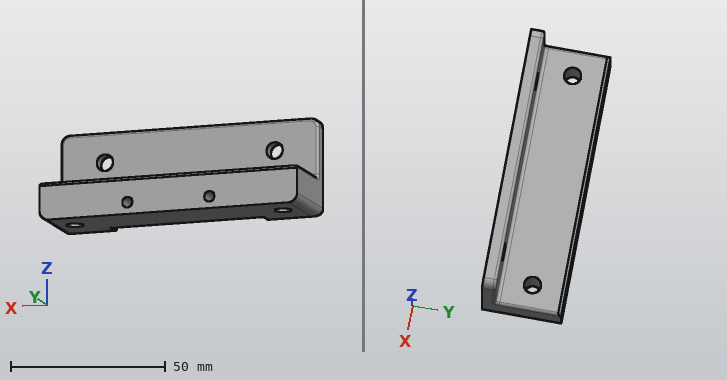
import cadquery as cq

length = 88.0
depth = 26.0
height = 32.3
plate_thickness = 4.5
shelf_thickness = 12.3

outer_radius = 3.0
inner_radius = 1.2
edge_radius = 1.0
rear_chamfer = 1.1

recess_length = 52.3
recess_height = 8.0
recess_depth = 7.0

plate_hole_diameter = 5.5
plate_hole_spacing = 57.9
plate_hole_z = 22.35
shelf_hole_diameter = 5.5
shelf_hole_spacing = 71.0
shelf_hole_y = 15.05
wall_hole_diameter = 3.4
wall_hole_spacing = 28.0
wall_hole_z = 3.9


def make_body():
    """L-shaped body with rounded outer edges, a rounded inner rim and a chamfered rear edge."""
    body = (
        cq.Workplane("YZ")
        .polyline([
            (0, 0),
            (depth, 0),
            (depth, shelf_thickness),
            (plate_thickness, shelf_thickness),
            (plate_thickness, height),
            (0, height),
        ])
        .close()
        .extrude(length / 2, both=True)
    )
    body = body.faces(">Z").edges("|Y").fillet(outer_radius)
    body = body.faces("<Z").edges("<Y or |Y").fillet(outer_radius)
    inside_corner = cq.selectors.NearestToPointSelector((0, plate_thickness, shelf_thickness))
    body = body.edges("|X").edges(inside_corner).fillet(inner_radius)
    shelf_middle = (0, (plate_thickness + depth) / 2, shelf_thickness)
    shelf_top = cq.selectors.NearestToPointSelector(shelf_middle)
    body = body.faces("+Z").faces(shelf_top).edges("<X or >X").fillet(edge_radius)
    rear_corner = (
        cq.Workplane("YZ")
        .polyline([
            (depth - rear_chamfer, shelf_thickness),
            (depth, shelf_thickness),
            (depth, shelf_thickness - rear_chamfer),
        ])
        .close()
        .extrude(length / 2, both=True)
    )
    return body.cut(rear_corner)


def cut_recess(body):
    """Open the middle of the underside from the front face back to the wall."""
    recess = cq.Workplane("XY").box(
        recess_length, recess_depth, recess_height, centered=(True, False, False)
    )
    return body.cut(recess)


def hole_pair_along_y(diameter, spacing, z):
    """Two cylinders running through the full depth."""
    return (
        cq.Workplane("XZ")
        .pushPoints([(-spacing / 2, z), (spacing / 2, z)])
        .circle(diameter / 2)
        .extrude(-depth)
    )


def hole_pair_along_z(diameter, spacing, y):
    """Two cylinders running through the full height."""
    return (
        cq.Workplane("XY")
        .pushPoints([(-spacing / 2, y), (spacing / 2, y)])
        .circle(diameter / 2)
        .extrude(height)
    )


result = cut_recess(make_body())
result = result.cut(hole_pair_along_y(plate_hole_diameter, plate_hole_spacing, plate_hole_z))
result = result.cut(hole_pair_along_y(wall_hole_diameter, wall_hole_spacing, wall_hole_z))
result = result.cut(hole_pair_along_z(shelf_hole_diameter, shelf_hole_spacing, shelf_hole_y))